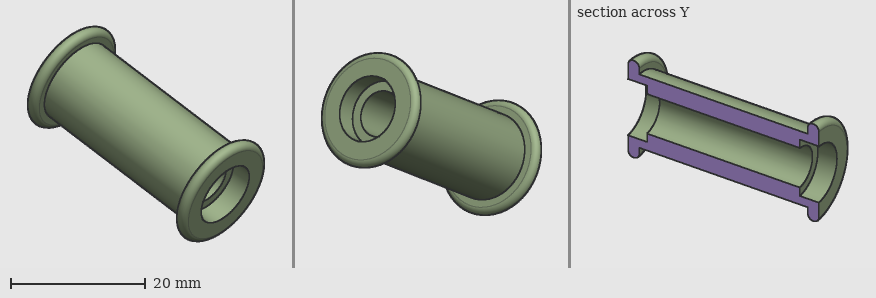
import cadquery as cq

length = 33.5
flange_diameter = 17.5
flange_width = 2.0
rim_radius = flange_width / 2
body_diameter = 13.25

bore_diameter = 7.0
counterbore_diameter = 10.0
counterbore_depth = 3.35


def cylinder_along_x(diameter, start, width):
    """Solid cylinder on the X axis, from x = start to x = start + width."""
    return cq.Workplane("YZ", origin=(start, 0, 0)).circle(diameter / 2).extrude(width)


def flange(start):
    """End flange with a half-round rim, revolved about the X axis."""
    end = start + flange_width
    outer_radius = flange_diameter / 2
    face_radius = outer_radius - rim_radius
    profile = (
        cq.Workplane("XY")
        .moveTo(start, 0)
        .lineTo(start, face_radius)
        .threePointArc((start + rim_radius, outer_radius), (end, face_radius))
        .lineTo(end, 0)
        .close()
    )
    return profile.revolve(360, (0, 0, 0), (1, 0, 0))


left_end = -length / 2
right_end = length / 2

spool = cylinder_along_x(body_diameter, left_end, length)
for flange_start in (left_end, right_end - flange_width):
    spool = spool.union(flange(flange_start))

spool = spool.cut(cylinder_along_x(bore_diameter, left_end, length))
for counterbore_start in (left_end, right_end - counterbore_depth):
    spool = spool.cut(cylinder_along_x(counterbore_diameter, counterbore_start, counterbore_depth))

result = spool